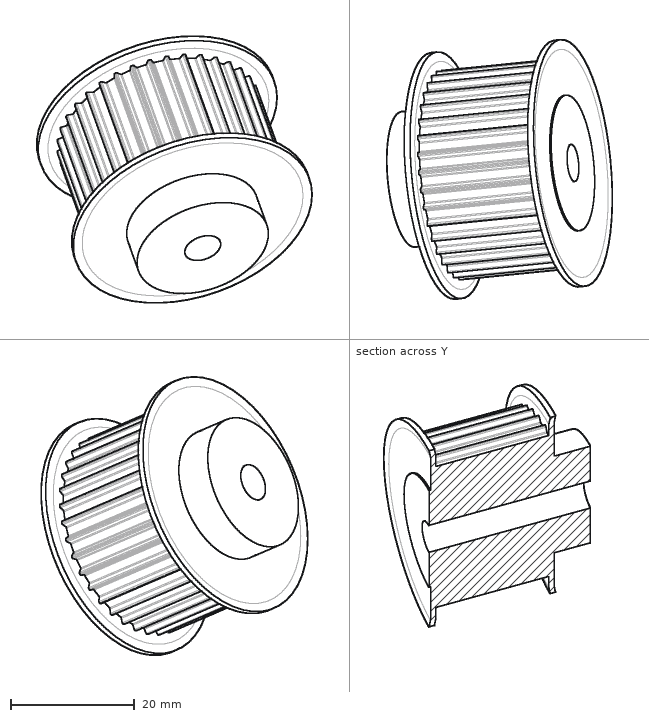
import cadquery as cq
import math


pulley_width = 22.0
hub_projection = 6.0
overall_length = pulley_width + hub_projection

hub_radius = 11.0
bore_radius = 3.0

flange_radius = 20.0
flange_bend_radius = 18.5
flange_thickness = 1.0
flange_dish = 0.25

tooth_count = 36
tip_radius = 16.97
root_radius = 16.0
groove_floor_half_width = 0.8
groove_mouth_half_width = 1.25
tooth_fillet = 0.2

flange_inner_face = flange_dish + flange_thickness
toothed_length = pulley_width - 2 * flange_inner_face
pitch_angle = 2 * math.pi / tooth_count


def polar_point(radius, angle):
    return (radius * math.cos(angle), radius * math.sin(angle))


def make_toothed_body():
    """Ring of trapezoidal grooves, with one groove centred on every multiple of the pitch angle."""
    floor_half_angle = math.asin(groove_floor_half_width / root_radius)
    mouth_half_angle = math.asin(groove_mouth_half_width / tip_radius)

    outline = cq.Workplane("YZ", origin=(flange_inner_face, 0, 0))
    outline = outline.moveTo(*polar_point(root_radius, -floor_half_angle))
    for index in range(tooth_count):
        groove_centre = index * pitch_angle
        tooth_centre = groove_centre + pitch_angle / 2
        next_groove_centre = groove_centre + pitch_angle
        outline = (
            outline.threePointArc(
                polar_point(root_radius, groove_centre),
                polar_point(root_radius, groove_centre + floor_half_angle),
            )
            .lineTo(*polar_point(tip_radius, groove_centre + mouth_half_angle))
            .threePointArc(
                polar_point(tip_radius, tooth_centre),
                polar_point(tip_radius, next_groove_centre - mouth_half_angle),
            )
            .lineTo(*polar_point(root_radius, next_groove_centre - floor_half_angle))
        )
    body = outline.close().extrude(toothed_length)
    return body.edges("|X").fillet(tooth_fillet)


def make_flange():
    """Flange at the X = 0 end, dished so that its rim reaches out to X = 0."""
    half_section = (
        cq.Workplane("XY")
        .moveTo(flange_dish, 0)
        .lineTo(flange_dish, flange_bend_radius)
        .lineTo(0, flange_radius)
        .lineTo(flange_thickness, flange_radius)
        .lineTo(flange_inner_face, flange_bend_radius)
        .lineTo(flange_inner_face, 0)
        .close()
    )
    return half_section.revolve(360, (0, 0, 0), (1, 0, 0))


def make_cylinder(radius):
    """Cylinder about X over the whole length of the pulley."""
    return cq.Workplane("YZ").circle(radius).extrude(overall_length)


near_flange = make_flange()
far_flange = near_flange.mirror("YZ", (pulley_width / 2, 0, 0))

result = (
    make_toothed_body()
    .union(near_flange)
    .union(far_flange)
    .union(make_cylinder(hub_radius))
    .cut(make_cylinder(bore_radius))
)